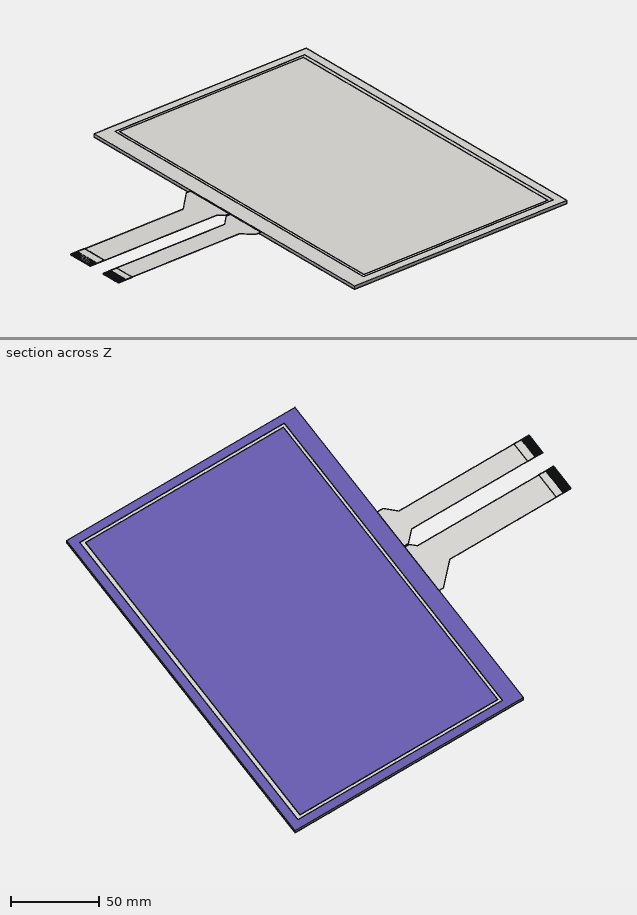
import cadquery as cq

TOTAL_LENGTH = 256.2
PLATE_WIDTH = 231.0
PLATE_LENGTH = 156.5
PLATE_THICKNESS = 2.2

Y_BACK = TOTAL_LENGTH / 2
Y_FRONT = Y_BACK - PLATE_LENGTH
Y_TIP = -TOTAL_LENGTH / 2

GROOVE_SIDE_MARGIN = 5.5
GROOVE_BACK_MARGIN = 5.6
GROOVE_FRONT_MARGIN = 11.0
GROOVE_SIDE_WIDTH = 1.8
GROOVE_BACK_WIDTH = 2.5
GROOVE_FRONT_WIDTH = 1.8
GROOVE_DEPTH = 0.13

TAIL_THICKNESS = 0.3
TAIL_BOTTOM = 1.5
TAIL_TOP = TAIL_BOTTOM + TAIL_THICKNESS
SHOULDER_LENGTH = 3.0

LEFT_HEAD = (-30.0, 4.5)
LEFT_STEM = (-16.5, 1.3)

RIGHT_HEAD = (5.5, 32.5)
RIGHT_STEM = (12.3, 26.1)
RIGHT_OUTER_SHOULDER = 4.0

STIFFENER_LENGTH = 10.2
STIFFENER_THICKNESS = 0.3
PAD_LENGTH = 5.5
PAD_THICKNESS = 0.08
PAD_PITCH = 1.0
PAD_WIDTH = 0.5
LEFT_PAD_COUNT = 17
RIGHT_PAD_COUNT = 13


def block(x_range, y_range, z_range):
    """Box spanning the given (low, high) ranges."""
    corner = (x_range[0], y_range[0], z_range[0])
    size = (x_range[1] - x_range[0], y_range[1] - y_range[0], z_range[1] - z_range[0])
    return cq.Workplane("XY").box(*size, centered=False).translate(corner)


def make_plate():
    """Plate with a shallow rectangular groove around its top face."""
    half_width = PLATE_WIDTH / 2
    plate = block((-half_width, half_width), (Y_FRONT, Y_BACK), (0, PLATE_THICKNESS))

    groove_z = (PLATE_THICKNESS - GROOVE_DEPTH, PLATE_THICKNESS)
    outer_x = half_width - GROOVE_SIDE_MARGIN
    outer_front = Y_FRONT + GROOVE_FRONT_MARGIN
    outer_back = Y_BACK - GROOVE_BACK_MARGIN
    outer = block((-outer_x, outer_x), (outer_front, outer_back), groove_z)

    inner_x = outer_x - GROOVE_SIDE_WIDTH
    inner_y = (outer_front + GROOVE_FRONT_WIDTH, outer_back - GROOVE_BACK_WIDTH)
    inner = block((-inner_x, inner_x), inner_y, groove_z)
    return plate.cut(outer.cut(inner))


def make_tail(head, stem, left_shoulder, right_shoulder):
    """Flat tail: a wide head narrowing at 45 degrees on both sides to a straight stem."""
    left_taper = stem[0] - head[0]
    right_taper = head[1] - stem[1]
    outline = [
        (head[0], Y_FRONT),
        (head[0], Y_FRONT - left_shoulder),
        (stem[0], Y_FRONT - left_shoulder - left_taper),
        (stem[0], Y_TIP),
        (stem[1], Y_TIP),
        (stem[1], Y_FRONT - right_shoulder - right_taper),
        (head[1], Y_FRONT - right_shoulder),
        (head[1], Y_FRONT),
    ]
    tail = cq.Workplane("XY").workplane(offset=TAIL_BOTTOM)
    return tail.polyline(outline).close().extrude(TAIL_THICKNESS)


def make_stiffener(stem, z_low):
    """Full-width stiffening strip at the tail tip."""
    y_range = (Y_TIP, Y_TIP + STIFFENER_LENGTH)
    return block(stem, y_range, (z_low, z_low + STIFFENER_THICKNESS))


def make_pads(stem, count, z_low):
    """Row of contact pads centred on the tail and running back from its tip."""
    middle_x = (stem[0] + stem[1]) / 2
    middle_y = Y_TIP + PAD_LENGTH / 2
    return (
        cq.Workplane("XY")
        .workplane(offset=z_low)
        .center(middle_x, middle_y)
        .rarray(PAD_PITCH, 2.5, count, 1)
        .rect(PAD_WIDTH, PAD_LENGTH)
        .extrude(PAD_THICKNESS)
    )


left_tail = (
    make_tail(LEFT_HEAD, LEFT_STEM, SHOULDER_LENGTH, SHOULDER_LENGTH)
    .union(make_stiffener(LEFT_STEM, TAIL_TOP))
    .union(make_pads(LEFT_STEM, LEFT_PAD_COUNT, TAIL_BOTTOM - PAD_THICKNESS))
)

right_tail = (
    make_tail(RIGHT_HEAD, RIGHT_STEM, SHOULDER_LENGTH, RIGHT_OUTER_SHOULDER)
    .union(make_stiffener(RIGHT_STEM, TAIL_BOTTOM - STIFFENER_THICKNESS))
    .union(make_pads(RIGHT_STEM, RIGHT_PAD_COUNT, TAIL_TOP))
)

result = make_plate().union(left_tail).union(right_tail)